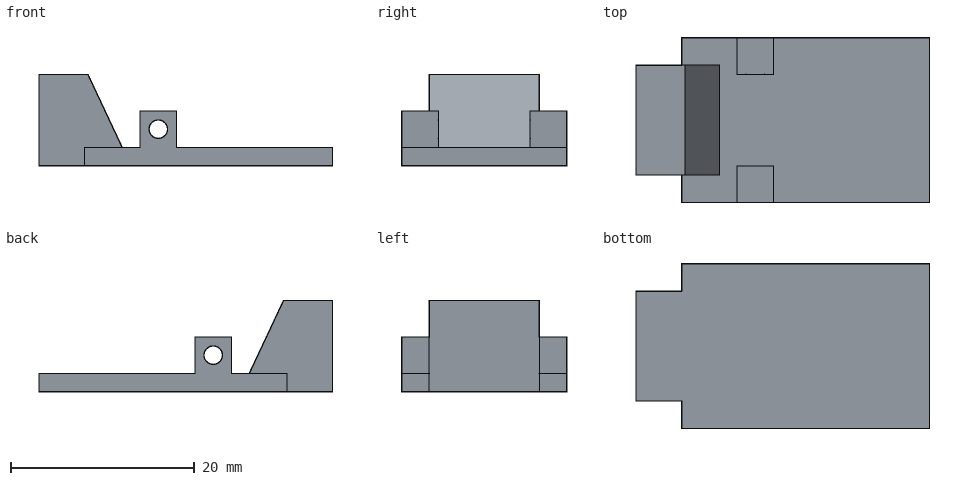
import cadquery as cq

length = 32.0
width = 18.0
height = 10.0

plate_start = 5.0
plate_thickness = 2.0

block_width = 12.0
block_top_length = 5.35
block_foot_length = 9.1

lug_start = 11.0
lug_size = 4.0
lug_height = 3.97
hole_diameter = 2.0


def make_plate():
    return cq.Workplane("XY").box(
        length - plate_start, width, plate_thickness, centered=(False, True, False)
    ).translate((plate_start, 0, 0))


def make_block():
    return (
        cq.Workplane("XZ")
        .moveTo(0, 0)
        .lineTo(block_foot_length, 0)
        .lineTo(block_foot_length, plate_thickness)
        .lineTo(block_top_length, height)
        .lineTo(0, height)
        .close()
        .extrude(block_width / 2, both=True)
    )


def make_lug(side):
    centre_y = side * (width - lug_size) / 2
    return cq.Workplane("XY").box(
        lug_size, lug_size, lug_height, centered=(False, True, False)
    ).translate((lug_start, centre_y, plate_thickness))


def make_lug_bore():
    return (
        cq.Workplane("XZ")
        .center(lug_start + lug_size / 2, plate_thickness + lug_height / 2)
        .circle(hole_diameter / 2)
        .extrude(width, both=True)
    )


result = make_plate().union(make_block())
for side in (-1, 1):
    result = result.union(make_lug(side))
result = result.cut(make_lug_bore())